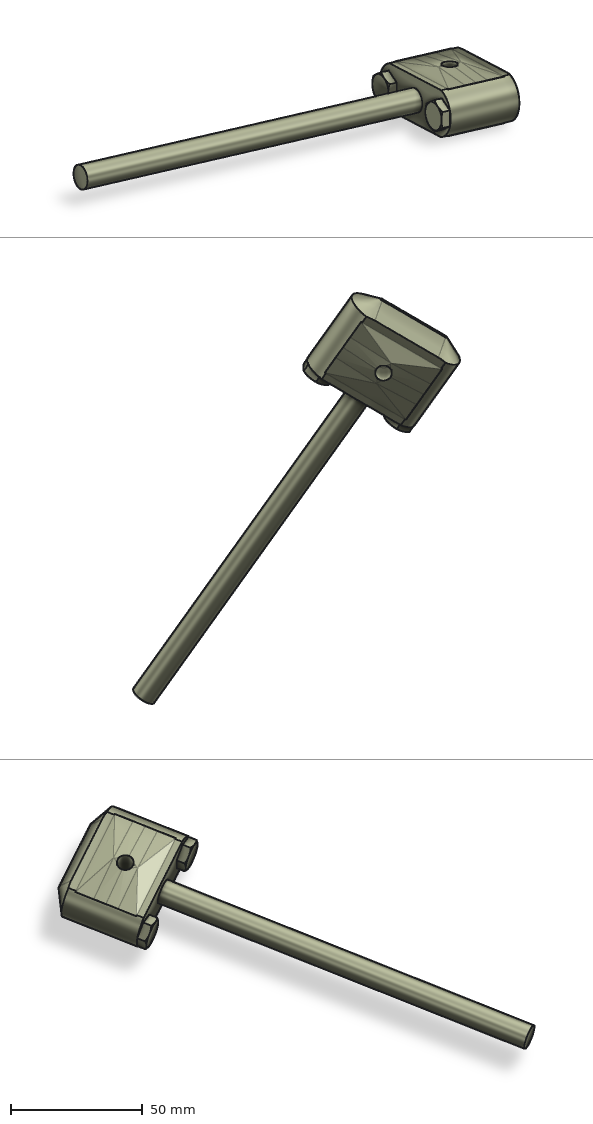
import cadquery as cq
import math

body_width = 48.95
body_thickness = 19.05
body_length = 31.3
end_radius = 10.16
front_y = -body_length / 2
back_y = body_length / 2

roof_height = 5.43
roof_taper = 60.0

overall_height = 22.86
pad_width = 36.6
pad_length = 25.4
ridge_length = 10.16
ridge_end_z = 11.40
ridge_peak_z = 11.78
pad_root_z = 7.0
pad_edge_z = body_thickness / 2

hole_diameter = 6.35
bolt_offset_x = 18.26
bolt_across_flats = 11.11
bolt_across_corners = bolt_across_flats / math.cos(math.pi / 6)
bolt_head_height = 3.81
bolt_chamfer_angle = 30.0
rod_diameter = 9.7
overall_length = 189.15
rod_length = overall_length - roof_height - body_length
rod_embed = 5.0


def back_plane(y):
    """XZ plane at the given Y, facing +Y, with local x along -X and local y along +Z."""
    return cq.Plane(origin=(0, y, 0), xDir=(-1, 0, 0), normal=(0, 1, 0))


def front_plane(y):
    """XZ plane at the given Y, facing -Y, with local x along +X and local y along +Z."""
    return cq.Plane(origin=(0, y, 0), xDir=(1, 0, 0), normal=(0, -1, 0))


def make_body():
    """Slot block with a tapered roof behind it, both cut to the flat thickness."""
    slot_width = 2 * end_radius
    block = cq.Workplane(back_plane(front_y)).slot2D(body_width, slot_width).extrude(body_length)
    roof = (
        cq.Workplane(back_plane(back_y))
        .slot2D(body_width, slot_width)
        .extrude(roof_height, taper=roof_taper)
    )
    flats = cq.Workplane("XY").box(body_width, 2 * (body_length + roof_height), body_thickness)
    return block.union(roof).intersect(flats)


def pad_section(ridge_z):
    """Outline of a pad across its width: side walls under a low gable with the given ridge height."""
    half_width = pad_width / 2
    return [
        (-half_width, pad_root_z),
        (half_width, pad_root_z),
        (half_width, pad_edge_z),
        (0, ridge_z),
        (-half_width, pad_edge_z),
    ]


def make_crown_half():
    """Ruled stretch from the end of the ridge at -Y up to the peak at mid length."""
    return (
        cq.Workplane(back_plane(-ridge_length / 2))
        .polyline(pad_section(ridge_end_z)).close()
        .workplane(offset=ridge_length / 2)
        .polyline(pad_section(ridge_peak_z)).close()
        .loft(ruled=True)
    )


def make_hip_end():
    """Hipped end at -Y: the pad section run out and cut by a sloping end face."""
    start_y = -ridge_length / 2
    end_y = -pad_length / 2
    run = (
        cq.Workplane(front_plane(start_y))
        .polyline(pad_section(ridge_end_z)).close()
        .extrude(start_y - end_y)
    )
    slope = (
        cq.Workplane("YZ")
        .polyline([(start_y, pad_root_z), (start_y, ridge_end_z), (end_y, pad_edge_z), (end_y, pad_root_z)])
        .close()
        .extrude(pad_width / 2, both=True)
    )
    return run.intersect(slope)


def make_pad():
    """Pad on the +Z face, its crown cut level at the overall height."""
    half = make_crown_half().union(make_hip_end())
    level_top = cq.Workplane("XY").box(pad_width, pad_length, overall_height)
    return half.union(half.mirror("XZ")).intersect(level_top)


def make_bolt_head(x):
    """Hexagon head on the front face with two corners along Z and a chamfered outer end."""
    head = (
        cq.Workplane(front_plane(front_y))
        .center(x, 0)
        .transformed(rotate=(0, 0, 90))
        .polygon(6, bolt_across_corners)
        .extrude(bolt_head_height)
    )
    corner_radius = bolt_across_corners / 2
    face_radius = bolt_across_flats / 2
    corner_drop = (corner_radius - face_radius) * math.tan(math.radians(bolt_chamfer_angle))
    cone = (
        cq.Workplane(front_plane(front_y))
        .center(x, 0)
        .circle(corner_radius)
        .extrude(bolt_head_height)
        .faces("<Y")
        .chamfer(corner_drop, corner_radius - face_radius)
    )
    return head.intersect(cone)


def make_rod():
    """Round rod running forward from the middle of the front face."""
    return (
        cq.Workplane(front_plane(front_y + rod_embed))
        .circle(rod_diameter / 2)
        .extrude(rod_embed + rod_length)
    )


pad = make_pad()
result = make_body().union(pad).union(pad.mirror("XY"))
for bolt_x in (-bolt_offset_x, bolt_offset_x):
    result = result.union(make_bolt_head(bolt_x))
result = result.union(make_rod())
hole = cq.Workplane("XY").circle(hole_diameter / 2).extrude(overall_height, both=True)
result = result.cut(hole)